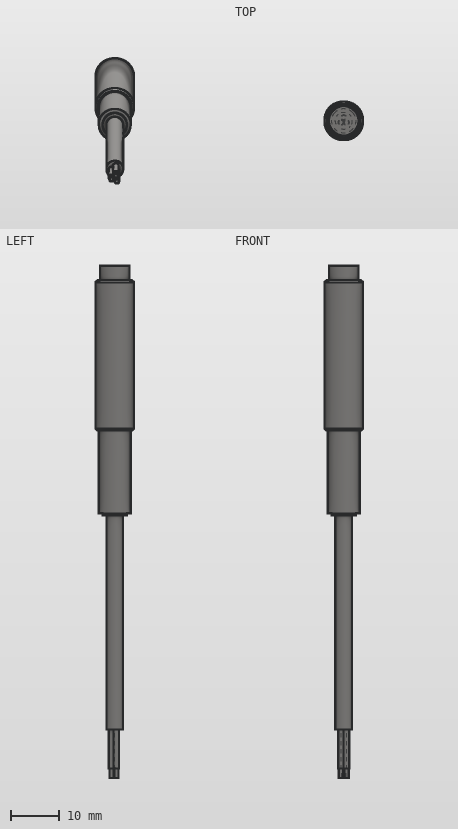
import cadquery as cq
import math

overall_length = 105.5
core_length = 2.0
wire_length = 10.0
nose_length = 3.0
barrel_length = 31.0
sleeve_length = 17.0
collar_length = 0.5

barrel_diameter = 8.0
nose_diameter = 6.1
sleeve_diameter = 6.6
collar_diameter = 5.0
cable_diameter = 3.5

barrel_chamfer = 0.5

wire_count = 3
wire_diameter = 1.17
core_diameter = 0.9
bundle_radius = wire_diameter / math.sqrt(3)
first_wire_angle = 90.0

barrel_top = overall_length - nose_length
barrel_bottom = barrel_top - barrel_length
sleeve_bottom = barrel_bottom - sleeve_length
collar_bottom = sleeve_bottom - collar_length
cable_bottom = wire_length
insulation_bottom = core_length


def cylinder(diameter, bottom, top):
    """Round bar on the Z axis between two heights."""
    return cq.Workplane("XY").workplane(offset=bottom).circle(diameter / 2).extrude(top - bottom)


def make_housing():
    """Chamfered barrel with the nose above it, the sleeve and the collar below it."""
    barrel = cylinder(barrel_diameter, barrel_bottom, barrel_top)
    barrel = barrel.faces(">Z or <Z").chamfer(barrel_chamfer)
    nose = cylinder(nose_diameter, barrel_top, overall_length)
    sleeve = cylinder(sleeve_diameter, sleeve_bottom, barrel_bottom)
    collar = cylinder(collar_diameter, collar_bottom, sleeve_bottom)
    return barrel.union(nose).union(sleeve).union(collar)


def make_cable():
    """Outer jacket between the collar and the exposed wires."""
    return cylinder(cable_diameter, cable_bottom, collar_bottom)


def wire_position(index):
    """Centre of one wire in the triangular bundle."""
    angle = math.radians(first_wire_angle + index * 360.0 / wire_count)
    return cq.Vector(bundle_radius * math.cos(angle), bundle_radius * math.sin(angle), 0)


def make_insulation(index):
    """Insulated length of one wire, up to the cable end."""
    return cylinder(wire_diameter, insulation_bottom, cable_bottom).translate(wire_position(index))


def make_core(index):
    """Bare end of one wire, below its insulation."""
    return cylinder(core_diameter, 0, insulation_bottom).translate(wire_position(index))


housing = make_housing()
cable = make_cable()
insulations = [make_insulation(index).val() for index in range(wire_count)]
cores = [make_core(index).val() for index in range(wire_count)]

result = cq.Compound.makeCompound([housing.val(), cable.val(), *insulations, *cores])